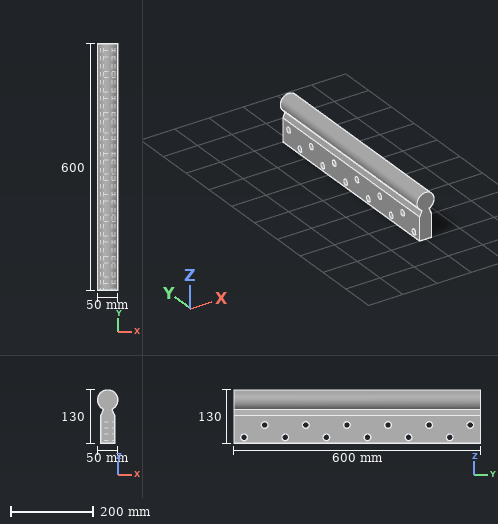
import cadquery as cq
import math

length = 600.0
height = 130.0
bar_diameter = 50.0

web_width = 35.0
shoulder_height = 67.0
neck_width = 21.0

hole_diameter = 15.5
hole_count = 12
hole_pitch = length / hole_count
lower_row_height = 14.5
upper_row_height = 44.5

bar_radius = bar_diameter / 2
bar_center_height = height - bar_radius
half_web = web_width / 2
half_neck = neck_width / 2
neck_height = bar_center_height - math.sqrt(bar_radius**2 - half_neck**2)


def make_rail():
    """Extrude the keyhole-shaped section along Y, centred on the origin."""
    section = (
        cq.Workplane("XZ", origin=(0, length / 2, 0))
        .moveTo(-half_web, 0)
        .lineTo(half_web, 0)
        .lineTo(half_web, shoulder_height)
        .lineTo(half_neck, neck_height)
        .threePointArc((0, height), (-half_neck, neck_height))
        .lineTo(-half_web, shoulder_height)
        .close()
    )
    return section.extrude(length)


def make_hole_cutters():
    """Evenly spaced cylinders along X, alternating between the two rows from the -Y end."""
    row_heights = (lower_row_height, upper_row_height)
    centers = []
    for index in range(hole_count):
        y = -length / 2 + (index + 0.5) * hole_pitch
        centers.append((y, row_heights[index % 2]))
    return (
        cq.Workplane("YZ", origin=(-half_web, 0, 0))
        .pushPoints(centers)
        .circle(hole_diameter / 2)
        .extrude(web_width)
    )


result = make_rail().cut(make_hole_cutters())